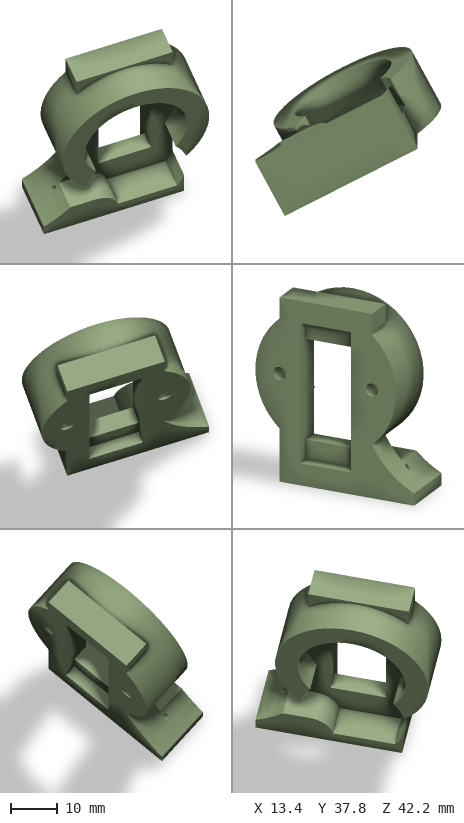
import cadquery as cq

depth = 13.35
height = 42.25
plate_thickness = 6.5
plate_half_width = 11.0

ring_radius = 16.75
ring_centre_z = 24.8
bore_radius = 11.75

foot_tip_y = -21.0
foot_tip_height = 2.8
foot_root_z = 12.25
foot_arc_middle = (-14.8, 7.15)
gap_bottom = 6.95
gap_top = 12.85
gap_centre_z = (gap_bottom + gap_top) / 2
floor_thickness = 2.8
lip_flat_start_y = -13.5
lip_flat_end_y = -9.2
lip_radius = 5.3

window_width = 12.0
window_height = 32.2
opening_height = 23.05
window_step_depth = 2.65

screw_hole_radius = 1.48
wire_hole_radius = 0.5
wire_hole_x = 6.65
wire_hole_z = 5.75
wire_hole_depth = 6.35


def disc(radius, centre_z, start_x, end_x, centre_y=0):
    """Cylinder along X between two depths."""
    plane = cq.Workplane("YZ", origin=(start_x, centre_y, centre_z))
    return plane.circle(radius).extrude(end_x - start_x)


def box(size_y, centre_z, size_z, start_x, end_x):
    """Block centred on Y = 0 between two depths."""
    plane = cq.Workplane("YZ", origin=(start_x, 0, centre_z))
    return plane.rect(size_y, size_z).extrude(end_x - start_x)


def make_plate():
    """Upright front plate."""
    return box(2 * plate_half_width, height / 2, height, 0, plate_thickness)


def make_foot():
    """Full-depth foot with a concave flare towards -Y."""
    return (
        cq.Workplane("YZ")
        .moveTo(plate_half_width, 0)
        .lineTo(foot_tip_y, 0)
        .lineTo(foot_tip_y, foot_tip_height)
        .threePointArc(foot_arc_middle, (-plate_half_width, foot_root_z))
        .lineTo(plate_half_width, foot_root_z)
        .close()
        .extrude(depth)
    )


def make_rear_cavity():
    """Two overlapping bores joined to the open gap above the foot."""
    upper_bore = disc(bore_radius, ring_centre_z, plate_thickness, depth)
    lower_bore = disc(bore_radius, gap_centre_z, plate_thickness, depth)
    gap = box(2 * abs(foot_tip_y), gap_centre_z, gap_top - gap_bottom, plate_thickness, depth)
    return upper_bore.union(lower_bore).union(gap)


def make_foot_lip():
    """Floor and rounded inner lip of the foot behind the plate."""
    lip_bottom = gap_bottom - lip_radius
    lip_block = (
        cq.Workplane("YZ", origin=(plate_thickness, 0, 0))
        .moveTo(lip_flat_start_y, lip_bottom)
        .lineTo(lip_flat_start_y, gap_bottom)
        .lineTo(lip_flat_end_y, gap_bottom)
        .radiusArc((lip_flat_end_y + lip_radius, lip_bottom), lip_radius)
        .close()
        .extrude(depth - plate_thickness)
    )
    floor = box(2 * plate_half_width, floor_thickness / 2, floor_thickness, plate_thickness, depth)
    return floor.union(lip_block)


def cut_window(body):
    """Tall recess in the front face and a shorter opening behind it."""
    recess = box(window_width, height / 2, window_height, 0, window_step_depth)
    opening = box(window_width, height / 2, opening_height, 0, plate_thickness)
    return body.cut(recess).cut(opening)


def cut_holes(body):
    """Two screw holes through the plate and a small wire hole in the foot."""
    for side in (-1, 1):
        hole_y = side * plate_half_width
        body = body.cut(disc(screw_hole_radius, ring_centre_z, 0, plate_thickness, hole_y))
    wire_hole = (
        cq.Workplane("XZ", origin=(wire_hole_x, foot_tip_y + wire_hole_depth, wire_hole_z))
        .circle(wire_hole_radius)
        .extrude(wire_hole_depth)
    )
    return body.cut(wire_hole)


housing = disc(ring_radius, ring_centre_z, 0, depth)
result = make_plate().union(make_foot()).union(housing)
result = result.cut(make_rear_cavity())
result = result.union(make_foot_lip())
result = cut_window(result)
result = cut_holes(result)